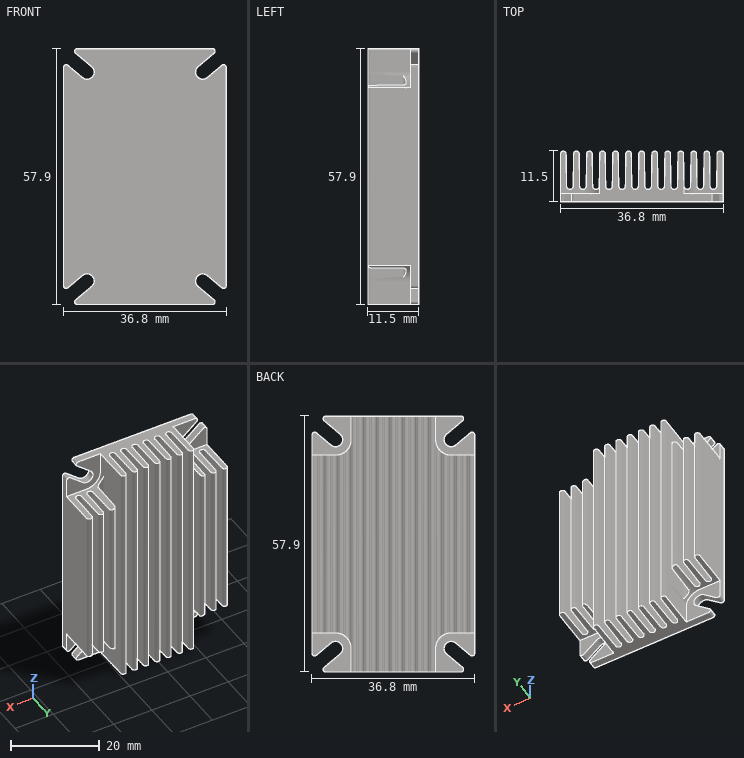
import math

import cadquery as cq

WIDTH = 36.83
DEPTH = 11.49
HEIGHT = 57.91

FIN_COUNT = 13
CHANNEL_PITCH = 2.95
CHANNEL_ROW_OFFSET = -0.06
CHANNEL_MOUTH = 1.66
CHANNEL_DRAFT = math.radians(0.8)
BASE_THICKNESS = 2.87
FIN_TIP_RADIUS = 0.6

FLANGE_THICKNESS = 1.905
SCREW_INSET = 5.33
SLOT_WIDTH = 3.18
SLOT_ANGLE = 40.0
SLOT_LIP_RADIUS = 0.61
CLEARANCE_RADIUS = 3.53

FRONT_Y = -DEPTH / 2
BACK_Y = DEPTH / 2
CHANNEL_FLOOR_Y = FRONT_Y + BASE_THICKNESS
FLANGE_BACK_Y = FRONT_Y + FLANGE_THICKNESS
SCREW_X = WIDTH / 2 - SCREW_INSET
SCREW_Z = HEIGHT / 2 - SCREW_INSET

CORNERS = [(-1, -1), (-1, 1), (1, -1), (1, 1)]

TOLERANCE = 0.001


def make_block():
    return cq.Workplane("XY").box(WIDTH, DEPTH, HEIGHT)


def make_channel(center_x):
    """Channel between two fins; its drafted walls run tangent into a round floor."""
    depth = BACK_Y - CHANNEL_FLOOR_Y
    mouth_half = CHANNEL_MOUTH / 2
    slope = math.tan(CHANNEL_DRAFT)
    secant = 1 / math.cos(CHANNEL_DRAFT)
    floor_radius = (mouth_half - depth * slope) / (secant - slope)
    wall_end_x = floor_radius * math.cos(CHANNEL_DRAFT)
    wall_end_y = CHANNEL_FLOOR_Y + floor_radius * (1 - math.sin(CHANNEL_DRAFT))
    return (
        cq.Workplane("XY", origin=(center_x, 0, -HEIGHT / 2))
        .moveTo(-mouth_half, BACK_Y)
        .lineTo(-wall_end_x, wall_end_y)
        .threePointArc((0, CHANNEL_FLOOR_Y), (wall_end_x, wall_end_y))
        .lineTo(mouth_half, BACK_Y)
        .close()
        .extrude(HEIGHT)
    )


def cut_channels(body):
    channel_count = FIN_COUNT - 1
    for index in range(channel_count):
        center_x = CHANNEL_ROW_OFFSET + (index - (channel_count - 1) / 2) * CHANNEL_PITCH
        body = body.cut(make_channel(center_x))
    return body


def round_fin_tips(body):
    return body.faces(">Y").edges("|Z").fillet(FIN_TIP_RADIUS)


def make_clearance(side_x, side_z):
    """Corner pocket behind the flange, with its inner corner round about the screw axis."""
    size = SCREW_INSET + CLEARANCE_RADIUS
    center_x = side_x * (WIDTH - size) / 2
    center_z = side_z * (HEIGHT - size) / 2
    inner_corner = ("<X" if side_x > 0 else ">X", "<Z" if side_z > 0 else ">Z")
    return (
        cq.Workplane("XY")
        .box(size, BACK_Y - FLANGE_BACK_Y, size)
        .translate((center_x, (BACK_Y + FLANGE_BACK_Y) / 2, center_z))
        .faces(inner_corner[0])
        .edges(inner_corner[1])
        .fillet(CLEARANCE_RADIUS)
    )


def make_slot(side_x, side_z):
    """Open slot running from the screw axis out through the corner."""
    length = 2 * SCREW_INSET
    radius = SLOT_WIDTH / 2
    slot = (
        cq.Workplane("XZ", origin=(0, BACK_Y, 0))
        .moveTo(length, radius)
        .lineTo(0, radius)
        .threePointArc((-radius, 0), (0, -radius))
        .lineTo(length, -radius)
        .close()
        .extrude(DEPTH)
    )
    angle = SLOT_ANGLE if side_z > 0 else -SLOT_ANGLE
    if side_x < 0:
        angle = 180 - angle
    return slot.rotate((0, 0, 0), (0, -1, 0), angle).translate((side_x * SCREW_X, 0, side_z * SCREW_Z))


def make_mounting_corners(body):
    for corner in CORNERS:
        body = body.cut(make_clearance(*corner))
    for corner in CORNERS:
        body = body.cut(make_slot(*corner))
    return body


def round_slot_lips(body):
    """Round the pointed flange tips on both sides of every slot mouth."""
    flange_edges = cq.selectors.BoxSelector(
        (-WIDTH, FRONT_Y, -HEIGHT),
        (WIDTH, FLANGE_BACK_Y, HEIGHT),
    )
    lips = body.edges("|Y").edges(flange_edges)
    on_outline = [
        edge
        for edge in lips.vals()
        if abs(edge.Center().x) > WIDTH / 2 - TOLERANCE or abs(edge.Center().z) > HEIGHT / 2 - TOLERANCE
    ]
    return body.newObject(on_outline).fillet(SLOT_LIP_RADIUS)


result = make_block()
result = cut_channels(result)
result = round_fin_tips(result)
result = make_mounting_corners(result)
result = round_slot_lips(result)